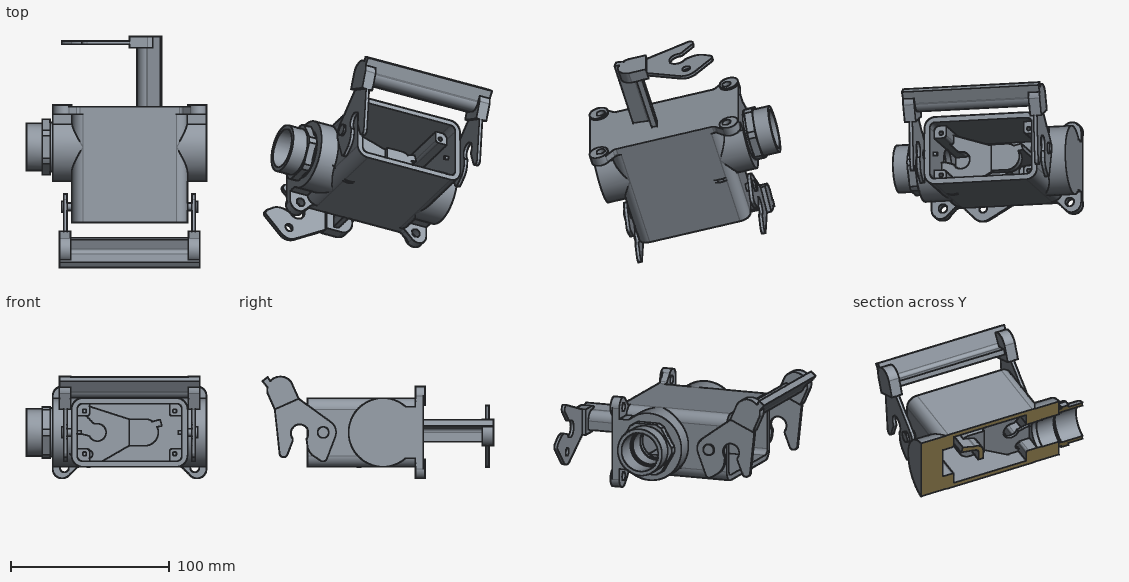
import cadquery as cq
import math


box_half_width = 36.5
box_half_height = 21.65
box_front = -47.6
box_back = 25.4
box_corner_radius = 7.0
wall = 3.5

boss_reach = 48.5
boss_radius = box_half_height
shoulder_half_height = 16.15

flange_thickness = 4.9
flange_front = box_back - flange_thickness
ear_radius = 6.0
ear_x = boss_reach - ear_radius
ear_z = 23.0
ear_pad_height = 1.2
ear_hole_diameter = 5.5
ear_hole_x = 41.1
ear_hole_z = 22.3
ear_root_radius = 3.0
ear_edge_angle = 45.0

inlet_diameter = 22.4
inlet_wall_diameter = 21.8

block_inner_x = 25.25
block_inner_z = 10.35
block_corner_radius = 1.6
block_front = -36.2
screw_x = 28.4
screw_z = 13.5
screw_diameter = 2.46
screw_depth = 10.0

pivot_y = -37.65
pin_diameter = 4.9
pin_head_diameter = 7.0
pin_head_thickness = 1.4
pin_tail_diameter = 2.2
pin_tail_reach = 2.4

gland_end = -65.0
gland_sleeve_diameter = 30.0
gland_collar_diameter = 31.0
gland_mouth_diameter = 24.8
gland_bore_diameter = 24.24
nut_outer_face = -55.1
nut_inner_face = -50.0
nut_sides = 6
nut_across_flats = 32.3
nut_corner_diameter = 35.2

lever_half_width = 44.3
grip_width = 7.2
arm_outer_face = 41.5
arm_thickness = 2.2
lever_tilt = 66.0
rear_pivot_x = -25.85
mid_line = 13.75
pivot_hole_diameter = 5.1

grip_start = 25.7
grip_half_height = 8.3
pivot_end_radius = 8.1
arm_edge_angle = 30.0
foot_edge_angle = 45.0
foot_tip = (-18.35, 6.9)
foot_tip_radius = 2.5
heel_start = (-11.0, 11.7)
heel_crown = (-6.5, 12.9)
heel_end = (-3.2, 12.5)
hook_center_x = 5.55
hook_radius = 5.5
hook_entry_x = 0.6
hook_entry_y = mid_line - math.sqrt(hook_radius**2 - (hook_entry_x - hook_center_x) ** 2)
hook_exit_angle = 110.0
claw_tip = (-11.1, 33.85)
claw_corner_radius = 2.0
claw_tip_radius = 2.6

grip_arch_start = 36.9
grip_end = 43.92

bar_outer_x = 30.5
bar_thickness = 3.5
bar_bottom = 7.8
bar_radius = 6.0
bar_crown_width = 0.6
lip_inner = (46.2, 17.8)
lip_outer = (45.1, 21.85)


def x_cylinder(diameter, start, end, y=0.0):
    """Cylinder along X between two X positions, at z = 0."""
    plane = cq.Workplane("YZ", origin=(start, y, 0))
    return plane.circle(diameter / 2).extrude(end - start)


def y_plane(y):
    """XZ sketch plane at a given Y whose normal points to the back (+Y)."""
    return cq.Workplane(cq.Plane(origin=(0, y, 0), xDir=(-1, 0, 0), normal=(0, 1, 0)))


def y_block(half_width, half_height, start, end):
    """Centred rectangular block between two Y positions."""
    return y_plane(start).rect(2 * half_width, 2 * half_height).extrude(end - start)


def corner_points(x, z):
    return [(side * x, level * z) for side in (-1, 1) for level in (-1, 1)]


def make_flange():
    """Flange plate whose ears run into the box along a slope."""
    angle = math.radians(ear_edge_angle)
    tangent_x = ear_x - ear_radius * math.sin(angle)
    tangent_z = ear_z + ear_radius * math.cos(angle)
    root_x = tangent_x - (tangent_z - box_half_height) / math.tan(angle)
    flange = y_block(boss_reach, box_half_height, flange_front, box_back)
    for x_sign, z_sign in corner_points(1, 1):
        outline = [
            (boss_reach, 0),
            (boss_reach, ear_z),
            (ear_x, ear_z),
            (tangent_x, tangent_z),
            (root_x, box_half_height),
            (root_x, 0),
        ]
        web = y_plane(flange_front).polyline([(x_sign * x, z_sign * z) for x, z in outline]).close()
        ear = y_plane(flange_front).center(x_sign * ear_x, z_sign * ear_z).circle(ear_radius)
        flange = flange.union(web.extrude(flange_thickness))
        flange = flange.union(ear.extrude(flange_thickness + ear_pad_height))
    middle_y = (flange_front + box_back) / 2
    for x, z in corner_points(root_x, box_half_height):
        root = cq.selectors.NearestToPointSelector((x, middle_y, z))
        flange = flange.edges("|Y").edges(root).fillet(ear_root_radius)
    holes = y_plane(flange_front).pushPoints(corner_points(ear_hole_x, ear_hole_z))
    return flange.cut(holes.circle(ear_hole_diameter / 2).extrude(flange_thickness + ear_pad_height))


def make_cavity():
    """Inside of the box, less the four screw blocks in its corners."""
    inner_x = box_half_width - wall
    inner_z = box_half_height - wall
    cavity = y_block(inner_x, inner_z, box_front, box_back - wall)
    cavity = cavity.edges("|Y").fillet(box_corner_radius - wall)
    size_x = inner_x - block_inner_x
    size_z = inner_z - block_inner_z
    for x_sign, z_sign in corner_points(1, 1):
        center = (x_sign * (block_inner_x + size_x / 2), z_sign * (block_inner_z + size_z / 2))
        block = y_plane(block_front).center(-center[0], center[1]).rect(size_x, size_z)
        block = block.extrude(box_back - wall - block_front)
        inner_edge = cq.selectors.NearestToPointSelector(
            (x_sign * block_inner_x, (block_front + box_back - wall) / 2, z_sign * block_inner_z)
        )
        cavity = cavity.cut(block.edges("|Y").edges(inner_edge).fillet(block_corner_radius))
    return cavity


def make_pin(side):
    """Pivot pin with a head outside the lever arm and a thin tail inside the wall."""
    inner_wall = box_half_width - wall
    head_end = arm_outer_face + pin_head_thickness
    pin = x_cylinder(pin_diameter, side * (inner_wall + wall / 2), side * arm_outer_face, pivot_y)
    head = x_cylinder(pin_head_diameter, side * arm_outer_face, side * head_end, pivot_y)
    tail = x_cylinder(
        pin_tail_diameter, side * (inner_wall - pin_tail_reach), side * box_half_width, pivot_y
    )
    return pin.union(head).union(tail)


def make_housing():
    box = y_block(box_half_width, box_half_height, box_front, box_back)
    box = box.edges("|Y").fillet(box_corner_radius)
    bosses = x_cylinder(2 * boss_radius, -boss_reach, boss_reach)
    shoulders = y_block(boss_reach, shoulder_half_height, 0, flange_front)
    housing = box.union(bosses).union(shoulders).union(make_flange()).cut(make_cavity())
    housing = housing.cut(x_cylinder(inlet_diameter, -boss_reach, -box_half_width))
    housing = housing.cut(x_cylinder(inlet_wall_diameter, -box_half_width, wall - box_half_width))
    screws = y_plane(block_front).pushPoints(corner_points(screw_x, screw_z))
    housing = housing.cut(screws.circle(screw_diameter / 2).extrude(screw_depth))
    for side in (-1, 1):
        housing = housing.union(make_pin(side))
    return housing


def make_gland():
    """Sleeve, hexagon nut with rounded corners, and collar seated on the left boss."""
    sleeve = x_cylinder(gland_sleeve_diameter, gland_end, nut_outer_face)
    nut_length = nut_inner_face - nut_outer_face
    across_corners = nut_across_flats / math.cos(math.pi / nut_sides)
    nut = cq.Workplane("YZ", origin=(nut_outer_face, 0, 0))
    nut = nut.polygon(nut_sides, across_corners).extrude(nut_length)
    nut = nut.intersect(x_cylinder(nut_corner_diameter, nut_outer_face, nut_inner_face))
    collar = x_cylinder(gland_collar_diameter, nut_inner_face, -boss_reach)
    mouth = x_cylinder(gland_mouth_diameter, gland_end, nut_inner_face)
    bore = x_cylinder(gland_bore_diameter, nut_inner_face, -boss_reach)
    return sleeve.union(nut).union(collar).cut(mouth).cut(bore)


def make_arm(plane, start):
    """Arm plate with the pivot foot, the hook and the claw, from one offset along the width."""
    bisector = math.radians(-90 + (arm_edge_angle - foot_edge_angle) / 2)
    half_turn = math.radians((arm_edge_angle + foot_edge_angle) / 2)
    corner_reach = pivot_end_radius / math.cos(half_turn)
    pivot_corner = (corner_reach * math.cos(bisector), corner_reach * math.sin(bisector))
    exit_angle = math.radians(hook_exit_angle)
    hook_exit = (
        hook_center_x + hook_radius * math.cos(exit_angle),
        mid_line + hook_radius * math.sin(exit_angle),
    )
    sketch = cq.Workplane(plane).workplane(offset=start)
    arm = (
        sketch.moveTo(grip_start, mid_line - grip_half_height)
        .lineTo(*pivot_corner)
        .lineTo(*foot_tip)
        .lineTo(*heel_start)
        .threePointArc(heel_crown, heel_end)
        .lineTo(hook_entry_x, hook_entry_y)
        .threePointArc((hook_center_x + hook_radius, mid_line), hook_exit)
        .lineTo(*claw_tip)
        .lineTo(grip_start, mid_line + grip_half_height)
        .close()
        .extrude(arm_thickness)
    )
    for corner, radius in (
        (pivot_corner, pivot_end_radius),
        (foot_tip, foot_tip_radius),
        (hook_exit, claw_corner_radius),
        (claw_tip, claw_tip_radius),
    ):
        point = plane.toWorldCoords((corner[0], corner[1], start + arm_thickness / 2))
        corner_edge = cq.selectors.NearestToPointSelector(point.toTuple())
        arm = arm.edges(cq.selectors.ParallelDirSelector(plane.zDir)).edges(corner_edge).fillet(radius)
    return arm.cut(sketch.circle(pivot_hole_diameter / 2).extrude(arm_thickness))


def make_grip(plane, start):
    """Thick arch-ended block that carries one end of the handle bar."""
    return (
        cq.Workplane(plane)
        .workplane(offset=start)
        .moveTo(grip_start, mid_line - grip_half_height)
        .lineTo(grip_arch_start, mid_line - grip_half_height)
        .threePointArc((grip_end, mid_line), (grip_arch_start, mid_line + grip_half_height))
        .lineTo(grip_start, mid_line + grip_half_height)
        .close()
        .extrude(grip_width)
    )


def make_bar(plane):
    """Bent handle bar with a finger lip, over the full lever width."""
    bend_x = bar_outer_x + bar_radius
    bar_inner_x = bar_outer_x + bar_thickness
    bar_inner_radius = bar_radius - bar_thickness
    diagonal = math.sqrt(0.5)
    bend_middle = (bend_x - bar_radius * diagonal, mid_line + bar_radius * diagonal)
    inner_middle = (bend_x - bar_inner_radius * diagonal, mid_line + bar_inner_radius * diagonal)
    return (
        cq.Workplane(plane)
        .workplane(offset=-lever_half_width)
        .moveTo(bar_outer_x, bar_bottom)
        .lineTo(bar_outer_x, mid_line)
        .threePointArc(bend_middle, (bend_x, mid_line + bar_radius))
        .lineTo(bend_x + bar_crown_width, mid_line + bar_radius)
        .lineTo(*lip_outer)
        .lineTo(*lip_inner)
        .lineTo(bend_x, mid_line + bar_inner_radius)
        .threePointArc(inner_middle, (bar_inner_x, mid_line))
        .lineTo(bar_inner_x, bar_bottom)
        .close()
        .extrude(2 * lever_half_width)
    )


def make_lever(plane):
    """Locking lever: two arms with grips, joined by the handle bar."""
    lever = make_bar(plane)
    for arm_start in (-arm_outer_face, arm_outer_face - arm_thickness):
        lever = lever.union(make_arm(plane, arm_start))
    for grip_side_start in (-lever_half_width, lever_half_width - grip_width):
        lever = lever.union(make_grip(plane, grip_side_start))
    return lever


tilt = math.radians(lever_tilt)
front_lever_plane = cq.Plane(
    origin=(0, pivot_y, 0),
    xDir=(0, -math.cos(tilt), math.sin(tilt)),
    normal=(1, 0, 0),
)
rear_lever_plane = cq.Plane(
    origin=(rear_pivot_x, box_back, -mid_line),
    xDir=(1, 0, 0),
    normal=(0, -1, 0),
)
levers = [make_lever(plane) for plane in (front_lever_plane, rear_lever_plane)]
gland = make_gland()
housing = make_housing().cut(levers[1])

result = cq.Compound.makeCompound([housing.val(), gland.val(), *[lever.val() for lever in levers]])